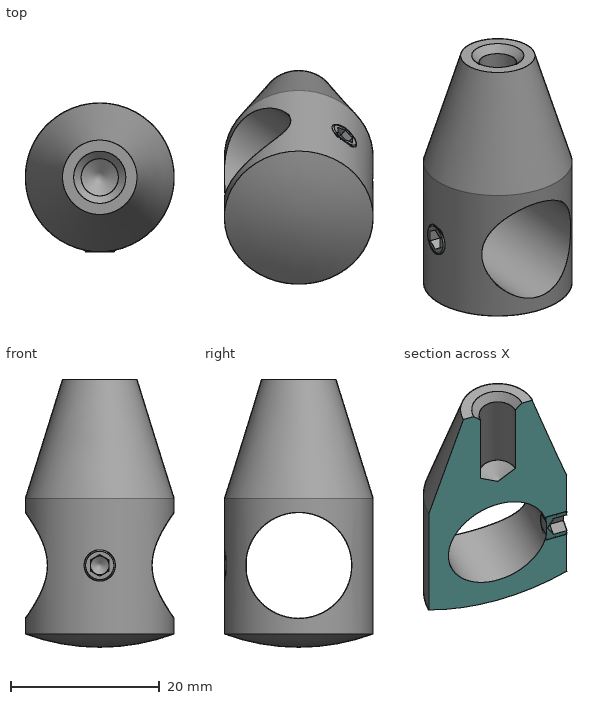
import cadquery as cq
import math

BODY_RADIUS = 10.0
TOTAL_HEIGHT = 36.0
NOSE_HEIGHT = 16.0
NOSE_TIP_RADIUS = 5.0
DOME_HEIGHT = 1.8

SHOULDER_Z = TOTAL_HEIGHT - NOSE_HEIGHT
DOME_RADIUS = (BODY_RADIUS**2 + DOME_HEIGHT**2) / (2 * DOME_HEIGHT)

CROSS_BORE_RADIUS = 7.1
CROSS_BORE_Z = 11.0

NOSE_HOLE_RADIUS = 2.5
COUNTERSINK_RADIUS = 3.5
COUNTERSINK_DEPTH = COUNTERSINK_RADIUS - NOSE_HOLE_RADIUS
NOSE_HOLE_DEPTH = 12.0
DRILL_POINT_HALF_ANGLE = math.radians(59)

SCREW_RADIUS = 2.1
SCREW_LENGTH = 3.0
SCREW_CHAMFER = 0.2
SOCKET_ACROSS_FLATS = 2.5
SOCKET_DEPTH = 2.0

SCREW_HEAD_Y = -BODY_RADIUS
SOCKET_CORNER_RADIUS = SOCKET_ACROSS_FLATS / math.sqrt(3)


def drill_point_height(radius):
    return radius / math.tan(DRILL_POINT_HALF_ANGLE)


def make_housing_blank():
    dome_mid_radius = BODY_RADIUS / 2
    dome_mid_z = DOME_RADIUS - math.sqrt(DOME_RADIUS**2 - dome_mid_radius**2)
    return (
        cq.Workplane("YZ")
        .moveTo(0, 0)
        .threePointArc((dome_mid_radius, dome_mid_z), (BODY_RADIUS, DOME_HEIGHT))
        .lineTo(BODY_RADIUS, SHOULDER_Z)
        .lineTo(NOSE_TIP_RADIUS, TOTAL_HEIGHT)
        .lineTo(0, TOTAL_HEIGHT)
        .close()
        .revolve(360, (0, 0, 0), (0, 1, 0))
    )


def make_cross_bore():
    return (
        cq.Workplane("YZ")
        .center(0, CROSS_BORE_Z)
        .circle(CROSS_BORE_RADIUS)
        .extrude(BODY_RADIUS, both=True)
    )


def make_nose_hole():
    floor_z = TOTAL_HEIGHT - NOSE_HOLE_DEPTH
    return (
        cq.Workplane("XZ")
        .moveTo(0, TOTAL_HEIGHT)
        .lineTo(COUNTERSINK_RADIUS, TOTAL_HEIGHT)
        .lineTo(NOSE_HOLE_RADIUS, TOTAL_HEIGHT - COUNTERSINK_DEPTH)
        .lineTo(NOSE_HOLE_RADIUS, floor_z)
        .lineTo(0, floor_z - drill_point_height(NOSE_HOLE_RADIUS))
        .close()
        .revolve(360, (0, 0, 0), (0, 1, 0))
    )


def screw_end_plane():
    """Plane on the outer end of the screw, with its normal pointing into the housing (+Y)."""
    return cq.Plane(origin=(0, SCREW_HEAD_Y, CROSS_BORE_Z), xDir=(1, 0, 0), normal=(0, 1, 0))


def make_screw_hole():
    return cq.Workplane(screw_end_plane()).circle(SCREW_RADIUS).extrude(SCREW_LENGTH)


def make_screw_blank():
    """Cylinder that fills the screw hole, chamfered at its outer end."""
    return make_screw_hole().faces("<Y").chamfer(SCREW_CHAMFER)


def make_hex_socket():
    """Hexagonal recess, corners at top and bottom, ending in a cone."""
    corner_angles = [math.radians(30 + 60 * i) for i in range(6)]
    corners = [
        (SOCKET_CORNER_RADIUS * math.cos(a), SOCKET_CORNER_RADIUS * math.sin(a))
        for a in corner_angles
    ]
    hexagon = cq.Workplane(screw_end_plane()).polyline(corners).close().extrude(SOCKET_DEPTH)
    point = cq.Solid.makeCone(
        SOCKET_ACROSS_FLATS / 2,
        0,
        drill_point_height(SOCKET_ACROSS_FLATS / 2),
        pnt=cq.Vector(0, SCREW_HEAD_Y + SOCKET_DEPTH, CROSS_BORE_Z),
        dir=cq.Vector(0, 1, 0),
    )
    return hexagon.union(cq.Workplane(point))


housing = make_housing_blank().cut(make_cross_bore()).cut(make_nose_hole()).cut(make_screw_hole())
set_screw = make_screw_blank().cut(make_hex_socket())

result = cq.Compound.makeCompound([housing.val(), set_screw.val()])